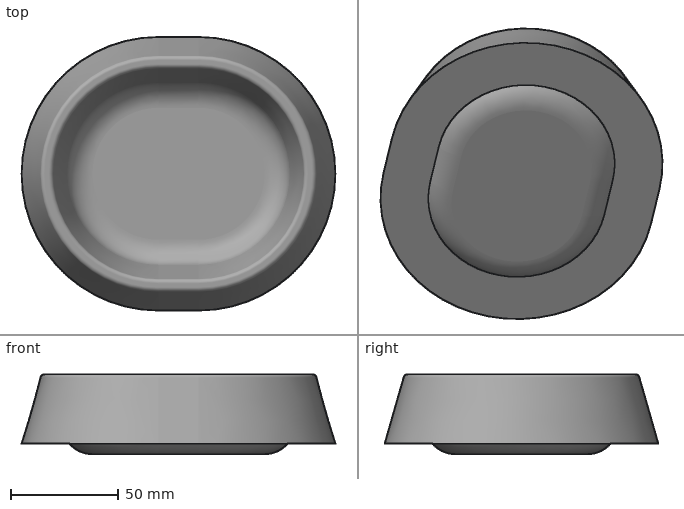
import cadquery as cq
import math

length = 146.5
width = 127.8
height = 37.4
straight = length - width

outer_draft = math.radians(16)
inner_draft = math.radians(15)
base_radius = width / 2
skirt_bottom = 5.0
floor_thickness = 2.0
floor_radius = 30.8
rim_inner_radius = 49.5
rim_fillet = 2.0


def bend_tangent(draft):
    """Tangent length of a unit-radius bend between a level face and a drafted wall."""
    return math.tan((math.pi / 2 - draft) / 2)


rim_outer_radius = base_radius - (height - skirt_bottom) * math.tan(outer_draft)
outer_setback = rim_fillet * bend_tangent(outer_draft)
inner_setback = rim_fillet * bend_tangent(inner_draft)
fillet_center_z = height - rim_fillet
outer_flat_radius = rim_outer_radius - outer_setback
inner_flat_radius = rim_inner_radius + inner_setback

wall_radius_at_floor = rim_inner_radius - (height - floor_thickness) * math.tan(inner_draft)
bend_radius = (wall_radius_at_floor - floor_radius) / bend_tangent(inner_draft)
bend_center_z = floor_thickness + bend_radius

under_bend_radius = bend_radius + floor_thickness
under_bend_end = math.acos((bend_center_z - skirt_bottom) / under_bend_radius)


def arc_point(center_r, center_z, radius, angle):
    """Point on an arc; the angle is measured from straight down, outward positive."""
    return (center_r + radius * math.sin(angle), center_z - radius * math.cos(angle))


def bend_point(radius, angle):
    return arc_point(floor_radius, bend_center_z, radius, angle)


def outer_rim_point(angle):
    return arc_point(outer_flat_radius, fillet_center_z, rim_fillet, angle)


def inner_rim_point(angle):
    return arc_point(inner_flat_radius, fillet_center_z, rim_fillet, -angle)


def section():
    """Half cross-section: radius from the end axis, and height."""
    rim_top = math.pi
    outer_start = math.pi / 2 + outer_draft
    inner_end = math.pi / 2 + inner_draft
    wall_angle = math.pi / 2 - inner_draft
    return (
        cq.Workplane("XZ")
        .lineTo(floor_radius, 0)
        .threePointArc(
            bend_point(under_bend_radius, under_bend_end / 2),
            bend_point(under_bend_radius, under_bend_end),
        )
        .lineTo(base_radius, skirt_bottom)
        .lineTo(*outer_rim_point(outer_start))
        .threePointArc(outer_rim_point((outer_start + rim_top) / 2), outer_rim_point(rim_top))
        .lineTo(inner_flat_radius, height)
        .threePointArc(inner_rim_point((rim_top + inner_end) / 2), inner_rim_point(inner_end))
        .lineTo(*bend_point(bend_radius, wall_angle))
        .threePointArc(bend_point(bend_radius, wall_angle / 2), (floor_radius, floor_thickness))
        .lineTo(0, floor_thickness)
        .close()
    )


def round_end(direction):
    """Half-turn of the section, bulging toward +X (1) or -X (-1)."""
    end = section().revolve(180, (0, 0), (0, 1))
    end = end.rotate((0, 0, 0), (0, 0, 1), -direction * 90)
    return end.translate((direction * straight / 2, 0, 0))


def straight_side(direction):
    """Straight stretch of the section, facing +Y (1) or -Y (-1)."""
    side = section().extrude(straight / 2, both=True)
    return side.rotate((0, 0, 0), (0, 0, 1), direction * 90)


result = round_end(1)
result = result.union(straight_side(1)).union(straight_side(-1))
result = result.union(round_end(-1))